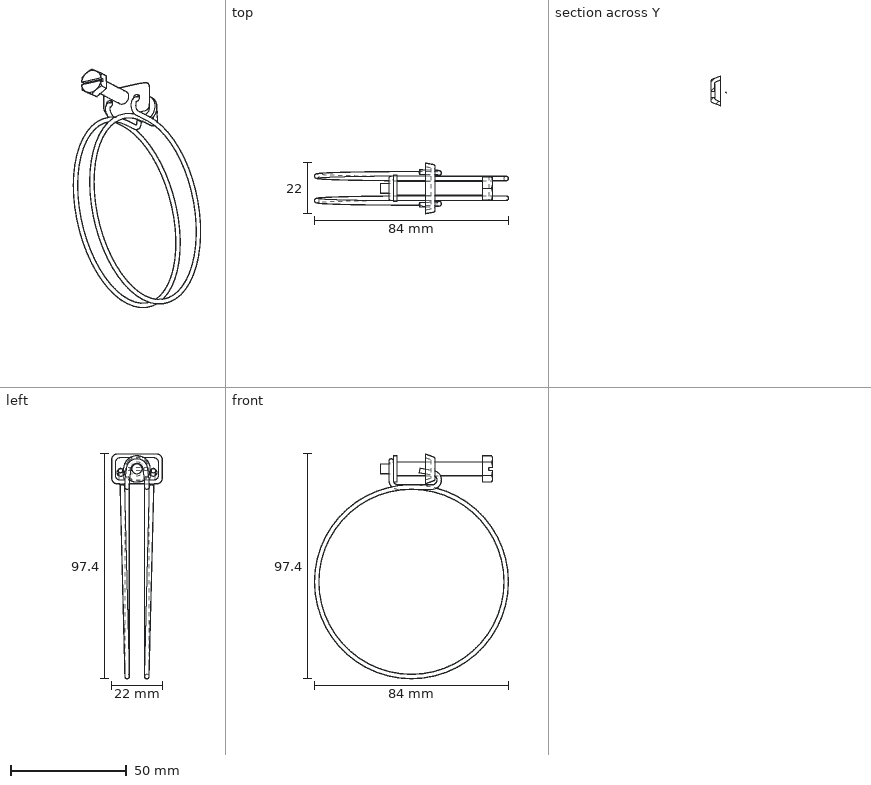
import cadquery as cq
import math


wire_radius = 1.0
loop_radius = 41.0
loop_start_y = 4.25
loop_pitch = 2.08
loop_end_y = loop_start_y + loop_pitch
arch_radius = 3.6
arch_drop = 0.2
leg_bend_radius = 3.0
hook_start_x = 8.9
hook_radius = 3.1
hook_turn = math.radians(170)
hook_lean = math.radians(6)
tail_length = 6.0

screw_z = 48.85
tip_start_x = -13.5
tip_radius = 2.15
collar_start_x = -7.8
collar_end_x = -6.2
collar_radius = 5.75
shaft_radius = 3.0
head_start_x = 30.7
head_length = 4.4
head_across_flats = 10.0
head_across_corners = head_across_flats / math.cos(math.pi / 6)
head_bevel_radius = 5.0
head_bevel_length = 0.5
slot_width = 1.2
slot_depth = 1.6

plate_start_x = 6.0
plate_thickness = 4.25
plate_width = 22.0
plate_height = 13.0
plate_corner_radius = 2.6
plate_face_fillet = 1.0
side_taper = math.radians(10)
top_taper = math.radians(20)
rim_width = 1.65
cavity_depth = 2.5
cavity_corner_radius = 2.2
cavity_floor_fillet = 0.5
wire_hole_radius = 1.6
wire_hole_y = 7.0
wire_hole_drop = 1.6

arch_z = screw_z - arch_drop
arch_x = collar_start_x - wire_radius


def wire_half():
    """One half of the wire, from the top of the arch round a loop to the hooked tail."""
    diagonal = math.sqrt(0.5) * arch_radius
    bend_start_z = loop_radius + leg_bend_radius
    bend_end_x = arch_x + leg_bend_radius
    bend_offset = leg_bend_radius * math.sqrt(0.5)

    def hook_point(turn, along=0.0):
        x = hook_start_x + hook_radius * math.sin(turn) + along * math.cos(turn)
        rise = hook_radius * (1 - math.cos(turn)) + along * math.sin(turn)
        y = loop_end_y + rise * math.sin(hook_lean)
        return cq.Vector(x, y, loop_radius + rise * math.cos(hook_lean))

    arch_top = cq.Vector(arch_x, 0, arch_z + arch_radius)
    arch_middle = cq.Vector(arch_x, diagonal, arch_z + diagonal)
    arch_end = cq.Vector(arch_x, arch_radius, arch_z)
    bend_start = cq.Vector(arch_x, loop_start_y, bend_start_z)
    bend_middle = cq.Vector(bend_end_x - bend_offset, loop_start_y, bend_start_z - bend_offset)
    bend_end = cq.Vector(bend_end_x, loop_start_y, loop_radius)
    loop_start = cq.Vector(0, loop_start_y, loop_radius)
    loop_right = cq.Vector(loop_radius, loop_start_y, 0)
    loop_bottom = cq.Vector(0, loop_start_y, -loop_radius)
    loop_left = cq.Vector(-math.hypot(loop_radius, loop_pitch / 2), loop_start_y + loop_pitch / 2, 0)
    loop_end = cq.Vector(0, loop_end_y, loop_radius)
    hook_start = hook_point(0)
    hook_middle = hook_point(hook_turn / 2)
    hook_end = hook_point(hook_turn)
    tail_end = hook_point(hook_turn, tail_length)

    def sweep_along(plane, *edges):
        path = cq.Wire.assembleEdges(edges)
        section = cq.Workplane(plane, origin=path.startPoint().toTuple()).circle(wire_radius)
        return section.sweep(cq.Workplane(path))

    arch = sweep_along("XZ", cq.Edge.makeThreePointArc(arch_top, arch_middle, arch_end))
    up = cq.Vector(0, 0, 1)
    leg_sections = [cq.Wire.makeCircle(wire_radius, end, up) for end in (arch_end, bend_start)]
    leg = cq.Workplane(cq.Solid.makeLoft(leg_sections, True))
    loop = sweep_along(
        "XY",
        cq.Edge.makeThreePointArc(bend_start, bend_middle, bend_end),
        cq.Edge.makeLine(bend_end, loop_start),
        cq.Edge.makeThreePointArc(loop_start, loop_right, loop_bottom),
        cq.Edge.makeThreePointArc(loop_bottom, loop_left, loop_end),
        cq.Edge.makeLine(loop_end, hook_start),
        cq.Edge.makeThreePointArc(hook_start, hook_middle, hook_end),
        cq.Edge.makeLine(hook_end, tail_end),
    )
    return arch.union(leg).union(loop)


def make_wire():
    half = wire_half()
    return half.union(half.mirror("XZ"))


def cylinder_along_x(start_x, end_x, radius):
    return cq.Workplane("YZ", origin=(start_x, 0, screw_z)).circle(radius).extrude(end_x - start_x)


def screw_head():
    head = (
        cq.Workplane("YZ", origin=(head_start_x, 0, screw_z))
        .transformed(rotate=(0, 0, 90))
        .polygon(6, head_across_corners)
        .extrude(head_length)
    )
    corner_radius = head_across_corners / 2
    bevel = (
        cq.Workplane("XZ", origin=(head_start_x, 0, screw_z))
        .lineTo(0, corner_radius)
        .lineTo(head_length - head_bevel_length, corner_radius)
        .lineTo(head_length, head_bevel_radius)
        .lineTo(head_length, 0)
        .close()
        .revolve(360, (0, 0, 0), (1, 0, 0))
    )
    slot_middle_x = head_start_x + head_length - slot_depth / 2
    slot = cq.Workplane("XY", origin=(slot_middle_x, 0, screw_z)).box(
        slot_depth, head_across_corners, slot_width
    )
    return head.intersect(bevel).cut(slot)


def make_screw():
    tip = cylinder_along_x(tip_start_x, collar_start_x, tip_radius)
    collar = cylinder_along_x(collar_start_x, collar_end_x, collar_radius)
    shaft = cylinder_along_x(collar_end_x, head_start_x, shaft_radius)
    return tip.union(collar).union(shaft).union(screw_head())


def tapered_block(width, height, length, corner_radius, end_fillet):
    """Rounded block from the plate's open face toward +X, narrowing on all four sides."""

    def tapered_prism(plane, base, depth, taper):
        end = base - 2 * length * math.tan(taper)
        corners = [(0, -base / 2), (length, -end / 2), (length, end / 2), (0, base / 2)]
        profile = cq.Workplane(plane, origin=(plate_start_x, 0, screw_z)).polyline(corners).close()
        return profile.extrude(depth / 2, both=True)

    block = tapered_prism("XY", width, height, side_taper).intersect(
        tapered_prism("XZ", height, width, top_taper)
    )
    long_edges = block.edges("not(#X)")
    return long_edges.fillet(corner_radius).faces(">X").edges().fillet(end_fillet)


def make_plate():
    plate = tapered_block(
        plate_width, plate_height, plate_thickness, plate_corner_radius, plate_face_fillet
    )
    cavity = tapered_block(
        plate_width - 2 * rim_width,
        plate_height - 2 * rim_width,
        cavity_depth,
        cavity_corner_radius,
        cavity_floor_fillet,
    )
    plate_end_x = plate_start_x + plate_thickness
    plate = plate.cut(cavity).cut(cylinder_along_x(plate_start_x, plate_end_x, shaft_radius))
    wire_holes = (
        cq.Workplane("YZ", origin=(plate_start_x, 0, screw_z - wire_hole_drop))
        .pushPoints([(-wire_hole_y, 0), (wire_hole_y, 0)])
        .circle(wire_hole_radius)
        .extrude(plate_thickness)
    )
    return plate.cut(wire_holes)


wire = make_wire()
screw = make_screw()
plate = make_plate()
result = cq.Compound.makeCompound([wire.val(), screw.val(), plate.val()])